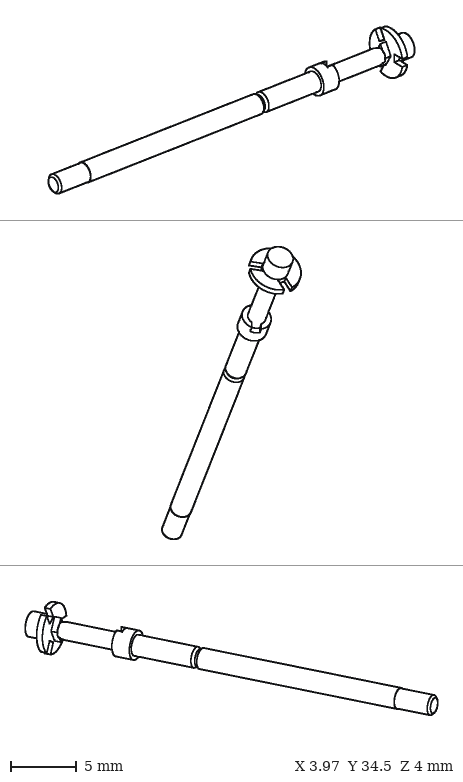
import cadquery as cq
import math

head_length = 1.5
flange_end = 2.0
neck_end = 2.55
stem_taper_end = 2.95
collar_start = 7.5
collar_end = 9.0
groove_start = 14.1
groove_end = 14.6
barrel_end = 31.5
total_length = 34.5

head_radius = 1.0
flange_radius = 2.0
stem_end_radius = 0.62
stem_radius = 0.7
collar_radius = 1.15
barrel_radius = 0.825
groove_depth = 0.15
tip_radius = 0.79
tip_chamfer = 0.18

neck_half_height = 1.0
neck_apex_angle = 60.0
neck_half_width = neck_half_height * math.tan(math.radians(neck_apex_angle / 2))

slot_count = 3
slot_width = 0.7
slot_floor_distance = head_radius

notch_width = 0.75
notch_length = 0.5


def turned(profile):
    """Revolve (radius, station) points around the Y axis; the ends close on the axis."""
    points = [(0, -profile[0][1])]
    points += [(radius, -station) for radius, station in profile]
    points += [(0, -profile[-1][1])]
    return cq.Workplane("XY").polyline(points).close().revolve(360, (0, 0, 0), (0, 1, 0))


def section_plane(station):
    """Plane across the axis at a station; extrusions from it run towards the tip."""
    return cq.Workplane("XZ", origin=(0, -station, 0))


def make_head():
    return turned([(head_radius, 0), (head_radius, flange_end)])


def make_flange():
    thickness = flange_end - head_length
    flange = section_plane(head_length).circle(flange_radius).extrude(thickness)
    slot_depth = flange_radius - slot_floor_distance
    slot = (
        section_plane(head_length)
        .center(slot_floor_distance + slot_depth, 0)
        .rect(2 * slot_depth, slot_width)
        .extrude(thickness)
    )
    for index in range(slot_count):
        angle = index * 360 / slot_count
        flange = flange.cut(slot.rotate((0, 0, 0), (0, 1, 0), angle))
    return flange


def make_neck():
    corners = [
        (0, neck_half_height),
        (neck_half_width, 0),
        (0, -neck_half_height),
        (-neck_half_width, 0),
    ]
    return section_plane(flange_end).polyline(corners).close().extrude(neck_end - flange_end)


def make_stem():
    return turned([
        (stem_end_radius, neck_end),
        (stem_radius, stem_taper_end),
        (stem_radius, collar_end),
    ])


def make_collar():
    collar = section_plane(collar_start).circle(collar_radius).extrude(collar_end - collar_start)
    notches = (
        section_plane(collar_start)
        .rect(notch_width, 2 * collar_radius)
        .extrude(notch_length)
    )
    return collar.cut(notches)


def make_barrel():
    groove_bottom = (groove_start + groove_end) / 2
    return turned([
        (barrel_radius, collar_start + notch_length),
        (barrel_radius, groove_start),
        (barrel_radius - groove_depth, groove_bottom),
        (barrel_radius, groove_end),
        (barrel_radius, barrel_end),
        (tip_radius, barrel_end),
        (tip_radius, total_length - tip_chamfer),
        (tip_radius - tip_chamfer, total_length),
    ])


result = (
    make_head()
    .union(make_flange())
    .union(make_neck())
    .union(make_stem())
    .union(make_collar())
    .union(make_barrel())
)